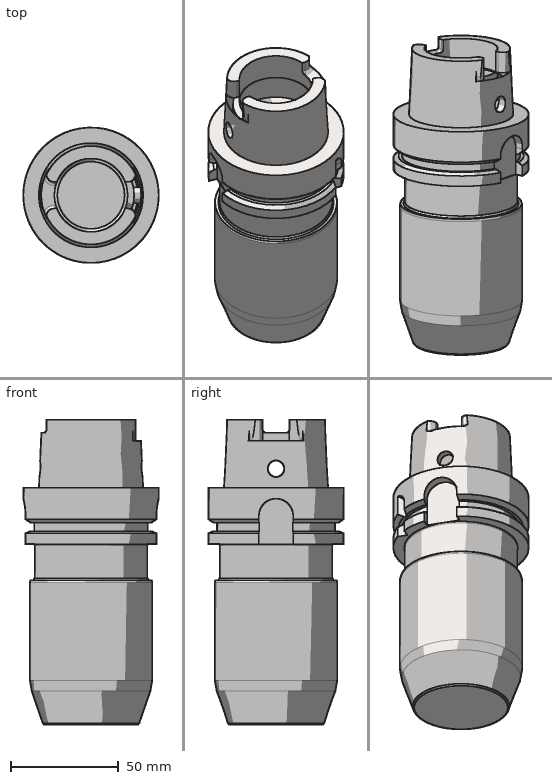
import cadquery as cq
import math

total_height = 141.9

nose_radius = 22.4
nose_chamfer = 0.7
nose_bend_z = 15.9
nose_bend_radius = 27.7
sleeve_bottom_z = 20.9
sleeve_radius = 28.5
sleeve_top_z = 67.3
sleeve_chamfer_height = 1.0
sleeve_chamfer_width = 0.3

neck_radius = 26.3
neck_foot_height = 1.0
neck_foot_width = 0.5
neck_collar_height = 0.5

flange_radius = 31.5
flange_bottom_z = 84.0
flange_top_z = 110.3
groove_radius = 27.5
groove_bottom_z = 90.1
groove_top_z = 94.0
groove_lip_radius = 29.1
lower_lip_chamfer = 1.1
upper_lip_chamfer = 1.7

keyway_width = 15.9
keyway_floor_x = 26.4
keyway_top_z = 105.1
notch_width = 12.8
notch_floor_x = 19.9
notch_side_y = 19.7

shank_base_radius = 24.3
shank_top_radius = 22.8
bore_radius = 17.0
undercut_radius = 20.0
undercut_start_z = 128.7
undercut_angle = 30.0
bore_floor_z = 112.1
bore_floor_radius = 15.6
bore_floor_cone_height = 2.1
cross_hole_diameter = 7.5
cross_hole_z = 119.0

slot_width = 12.3
slot_corner_radius = 3.5
slot_corner_x = 17.2
shallow_slot_sweep = 90.0
deep_slot_sweep = 140.0
shallow_slot_depth = 6.1
deep_slot_depth = 10.0
slot_floor_fillet = 1.5

reach = 42.5


def revolve_profile(points):
    """Turn a closed radius-height outline about the Z axis into a solid."""
    return cq.Workplane("XZ").polyline(points).close().revolve(360, (0, 0, 0), (0, 1, 0))


def make_body():
    return revolve_profile([
        (0, 0),
        (nose_radius - nose_chamfer, 0),
        (nose_radius, nose_chamfer),
        (nose_bend_radius, nose_bend_z),
        (sleeve_radius, sleeve_bottom_z),
        (sleeve_radius, sleeve_top_z - sleeve_chamfer_height),
        (sleeve_radius - sleeve_chamfer_width, sleeve_top_z),
        (neck_radius + neck_foot_width, sleeve_top_z),
        (neck_radius, sleeve_top_z + neck_foot_height),
        (neck_radius, flange_bottom_z - neck_collar_height),
        (keyway_floor_x, flange_bottom_z),
        (flange_radius, flange_bottom_z),
        (flange_radius, groove_bottom_z - lower_lip_chamfer),
        (groove_lip_radius, groove_bottom_z),
        (groove_radius, groove_bottom_z),
        (groove_radius, groove_top_z),
        (groove_lip_radius, groove_top_z),
        (flange_radius, groove_top_z + upper_lip_chamfer),
        (flange_radius, flange_top_z),
        (shank_base_radius, flange_top_z),
        (shank_top_radius, total_height),
        (0, total_height),
    ])


def make_bore():
    undercut_width = undercut_radius - bore_radius
    undercut_z = undercut_start_z - undercut_width * math.tan(math.radians(undercut_angle))
    return revolve_profile([
        (0, bore_floor_z),
        (bore_floor_radius, bore_floor_z),
        (undercut_radius, bore_floor_z + bore_floor_cone_height),
        (undercut_radius, undercut_z),
        (bore_radius, undercut_start_z),
        (bore_radius, total_height),
        (0, total_height),
    ])


def make_keyway(width, floor_x, center_y):
    """Round-topped cutter on the -X side, open at the flange underside."""
    radius = width / 2
    arc_z = keyway_top_z - radius
    return (
        cq.Workplane("YZ", origin=(-floor_x, 0, 0))
        .moveTo(center_y - radius, flange_bottom_z)
        .lineTo(center_y - radius, arc_z)
        .threePointArc((center_y, keyway_top_z), (center_y + radius, arc_z))
        .lineTo(center_y + radius, flange_bottom_z)
        .close()
        .extrude(floor_x - reach)
    )


def make_driving_slot(depth, corner_sweep):
    """Slot cutter on the -X side that flares round the rim's outer corners."""
    half = slot_width / 2

    def corner_point(sweep):
        """Point on the rounded rim corner, swept outward from the slot wall."""
        angle = math.radians(sweep)
        return (
            -slot_corner_x - slot_corner_radius * math.sin(angle),
            half + slot_corner_radius * (1 - math.cos(angle)),
        )

    mid_x, mid_y = corner_point(corner_sweep / 2)
    flare_x, flare_y = corner_point(corner_sweep)
    return (
        cq.Workplane("XY", origin=(0, 0, total_height - depth))
        .moveTo(0, half)
        .lineTo(-slot_corner_x, half)
        .threePointArc((mid_x, mid_y), (flare_x, flare_y))
        .lineTo(flare_x, reach)
        .lineTo(-reach, reach)
        .lineTo(-reach, -reach)
        .lineTo(flare_x, -reach)
        .lineTo(flare_x, -flare_y)
        .threePointArc((mid_x, -mid_y), (-slot_corner_x, -half))
        .lineTo(0, -half)
        .close()
        .extrude(depth)
    )


def half_turn(shape):
    return shape.rotate((0, 0, 0), (0, 0, 1), 180)


result = make_body().cut(make_bore())

keyway = make_keyway(keyway_width, keyway_floor_x, 0)
notch = make_keyway(notch_width, notch_floor_x, notch_side_y + notch_width / 2)
result = result.cut(keyway).cut(half_turn(keyway)).cut(notch)

shallow_slot = make_driving_slot(shallow_slot_depth, shallow_slot_sweep)
shallow_slot = shallow_slot.faces("<Z").edges().fillet(slot_floor_fillet)
deep_slot = half_turn(make_driving_slot(deep_slot_depth, deep_slot_sweep))
result = result.cut(shallow_slot).cut(deep_slot)

cross_hole = (
    cq.Workplane("YZ", origin=(-reach, 0, 0))
    .center(0, cross_hole_z)
    .circle(cross_hole_diameter / 2)
    .extrude(2 * reach)
)
result = result.cut(cross_hole)